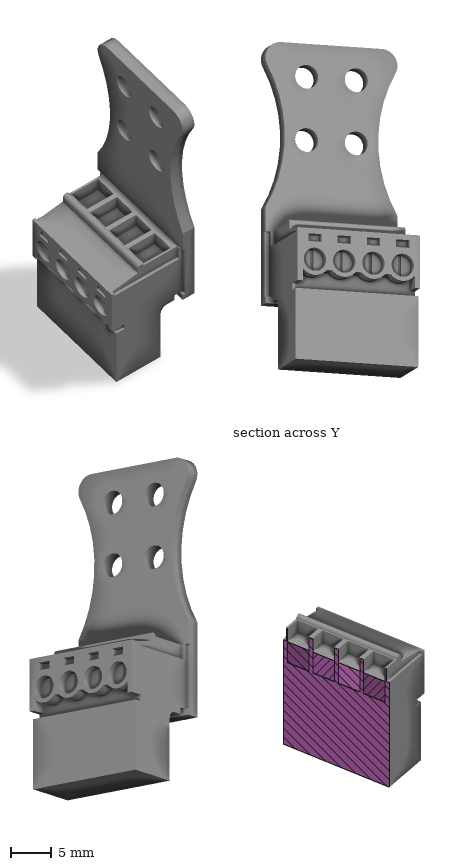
import cadquery as cq
import math


PLATE_WIDTH = 17.2
PLATE_THICKNESS = 1.8
PLATE_BOTTOM = 8.95
PLATE_TOP = 42.1
PLATE_CORNER_RADIUS = 2.0
WAIST_WIDTH = 12.2
WAIST_BOTTOM = 21.15
WAIST_TOP = 39.25
SEAT_DEPTH = 0.4
HOLE_DIAMETER = 3.0
HOLE_SPACING_X = 6.5
HOLE_SPACING_Z = 8.0
TOP_HOLE_DROP = 4.15

HOUSING_WIDTH = 16.0
HOUSING_TOP = 18.0
HOUSING_BOTTOM = 9.8
HOUSING_BACK = -(PLATE_THICKNESS - SEAT_DEPTH)
HOUSING_FRONT = -12.45
SHOULDER_BACK = -2.6
SHOULDER_FILLET = 1.0
PLUG_BACK = -4.8
PLUG_FRONT = -11.75
PLUG_TOP = PLATE_BOTTOM
NOTCH_BACK = -10.5
LIP_TOP = 16.5
LIP_THICKNESS = 0.4
SLOPE_TOP = 17.2
RIB_BACK = -7.1
RIB_THICKNESS = 0.93
RIB_HEIGHT = 0.4
BACK_RIM_THICKNESS = 0.55
SIDE_INSET = 0.4
SIDE_INSET_BOTTOM = 16.1

TERMINAL_COUNT = 4
TERMINAL_SPAN = 11.45
TERMINAL_PITCH = TERMINAL_SPAN / (TERMINAL_COUNT - 1)
POCKET_WIDTH = 3.15
POCKET_BACK = -2.75
POCKET_LENGTH = 4.2
POCKET_FRONT = POCKET_BACK - POCKET_LENGTH
POCKET_DEPTH = 2.0
CLAMP_HEIGHT = 3.15
CLAMP_TOP = HOUSING_TOP - POCKET_DEPTH
CLAMP_BOTTOM = CLAMP_TOP - CLAMP_HEIGHT
WINDOW_WIDTH = 1.73
WINDOW_HEIGHT = 0.95
WINDOW_CENTER_Z = 15.32
WINDOW_DEPTH = 1.0
SCREW_DIAMETER = 2.9
SCREW_CENTER_Z = 12.6
SCREW_RECESS = 1.25
SCREW_LENGTH = 2.1
SCREW_FRONT = HOUSING_FRONT + SCREW_RECESS
SCREW_BACK = SCREW_FRONT + SCREW_LENGTH
SCREW_SLOT_WIDTH = 0.4
SCREW_SLOT_DEPTH = 0.4
COLLAR_RADIUS = 1.98
APRON_BOTTOM = 11.32
APRON_WIDTH = 14.6

TERMINAL_X = [(i - (TERMINAL_COUNT - 1) / 2) * TERMINAL_PITCH for i in range(TERMINAL_COUNT)]


def block(x_center, width, y_back, y_front, z_bottom, z_top):
    """Box centred on x_center, between the given Y and Z limits."""
    return (
        cq.Workplane("XY")
        .box(width, y_back - y_front, z_top - z_bottom)
        .translate((x_center, (y_back + y_front) / 2, (z_bottom + z_top) / 2))
    )


def cylinder_along_y(x, z, radius, y_back, y_front):
    """Round bar running from y_back forwards to y_front."""
    return cq.Workplane("XZ", origin=(x, y_back, z)).circle(radius).extrude(y_back - y_front)


def make_plate():
    half_width = PLATE_WIDTH / 2
    half_waist = WAIST_WIDTH / 2
    waist_middle = (WAIST_BOTTOM + WAIST_TOP) / 2
    corner_x = half_width - PLATE_CORNER_RADIUS
    corner_z = PLATE_TOP - PLATE_CORNER_RADIUS
    waist_top_x = corner_x + math.sqrt(PLATE_CORNER_RADIUS**2 - (corner_z - WAIST_TOP) ** 2)
    plate = (
        cq.Workplane("XZ")
        .moveTo(-half_width, PLATE_BOTTOM)
        .lineTo(half_width, PLATE_BOTTOM)
        .lineTo(half_width, WAIST_BOTTOM)
        .threePointArc((half_waist, waist_middle), (waist_top_x, WAIST_TOP))
        .threePointArc((half_width, corner_z), (corner_x, PLATE_TOP))
        .lineTo(-corner_x, PLATE_TOP)
        .threePointArc((-half_width, corner_z), (-waist_top_x, WAIST_TOP))
        .threePointArc((-half_waist, waist_middle), (-half_width, WAIST_BOTTOM))
        .close()
        .extrude(PLATE_THICKNESS)
    )

    for x in (-HOLE_SPACING_X / 2, HOLE_SPACING_X / 2):
        for drop in (TOP_HOLE_DROP, TOP_HOLE_DROP + HOLE_SPACING_Z):
            z = PLATE_TOP - drop
            plate = plate.cut(cylinder_along_y(x, z, HOLE_DIAMETER / 2, 0, -PLATE_THICKNESS))

    seat = block(0, PLATE_WIDTH, HOUSING_BACK, -PLATE_THICKNESS, HOUSING_BOTTOM, HOUSING_TOP)
    return plate.cut(seat)


def make_housing_profile():
    """Side profile of the housing, extruded over its full width."""
    rib_front = RIB_BACK - RIB_THICKNESS
    rib_peak = (RIB_BACK - RIB_THICKNESS / 2, HOUSING_TOP + RIB_HEIGHT)
    fillet_reach = SHOULDER_FILLET * (1 - math.sqrt(0.5))
    return (
        cq.Workplane("YZ", origin=(-HOUSING_WIDTH / 2, 0, 0))
        .moveTo(PLUG_BACK, 0)
        .lineTo(PLUG_BACK, PLUG_TOP - SHOULDER_FILLET)
        .threePointArc(
            (PLUG_BACK + fillet_reach, PLUG_TOP - fillet_reach),
            (PLUG_BACK + SHOULDER_FILLET, PLUG_TOP),
        )
        .lineTo(SHOULDER_BACK, PLUG_TOP)
        .lineTo(SHOULDER_BACK, HOUSING_BOTTOM)
        .lineTo(HOUSING_BACK, HOUSING_BOTTOM)
        .lineTo(HOUSING_BACK, HOUSING_TOP)
        .lineTo(RIB_BACK, HOUSING_TOP)
        .threePointArc(rib_peak, (rib_front, HOUSING_TOP))
        .lineTo(rib_front, SLOPE_TOP)
        .lineTo(HOUSING_FRONT + LIP_THICKNESS, LIP_TOP)
        .lineTo(HOUSING_FRONT, LIP_TOP)
        .lineTo(HOUSING_FRONT, HOUSING_BOTTOM)
        .lineTo(NOTCH_BACK, HOUSING_BOTTOM)
        .lineTo(NOTCH_BACK, PLUG_TOP)
        .lineTo(PLUG_FRONT, PLUG_TOP)
        .lineTo(PLUG_FRONT, 0)
        .close()
        .extrude(HOUSING_WIDTH)
    )


def make_side_inset(side):
    """Cutter that steps one upper flank inwards between the back rim and the front lip."""
    return block(
        side * (HOUSING_WIDTH - SIDE_INSET) / 2,
        SIDE_INSET,
        HOUSING_BACK - BACK_RIM_THICKNESS,
        HOUSING_FRONT + LIP_THICKNESS,
        SIDE_INSET_BOTTOM,
        HOUSING_TOP + RIB_HEIGHT,
    )


def make_apron_cutout():
    """Cutter under the front wall whose upper edge leaves a round collar below each screw."""
    cutout = block(0, APRON_WIDTH, NOTCH_BACK, HOUSING_FRONT, HOUSING_BOTTOM, APRON_BOTTOM)
    for x in TERMINAL_X:
        collar = cylinder_along_y(x, SCREW_CENTER_Z, COLLAR_RADIUS, NOTCH_BACK, HOUSING_FRONT)
        cutout = cutout.cut(collar)
    return cutout


def make_housing():
    housing = make_housing_profile()
    for side in (-1, 1):
        housing = housing.cut(make_side_inset(side))
    housing = housing.cut(make_apron_cutout())

    for x in TERMINAL_X:
        pocket = block(x, POCKET_WIDTH, POCKET_BACK, POCKET_FRONT, CLAMP_BOTTOM, HOUSING_TOP)
        window = block(
            x,
            WINDOW_WIDTH,
            HOUSING_FRONT + WINDOW_DEPTH,
            HOUSING_FRONT,
            WINDOW_CENTER_Z - WINDOW_HEIGHT / 2,
            WINDOW_CENTER_Z + WINDOW_HEIGHT / 2,
        )
        bore = cylinder_along_y(x, SCREW_CENTER_Z, SCREW_DIAMETER / 2, SCREW_BACK, HOUSING_FRONT)
        housing = housing.cut(pocket).cut(window).cut(bore)
    return housing


def make_clamp(x):
    """Block filling the lower part of a wire pocket."""
    return block(x, POCKET_WIDTH, POCKET_BACK, POCKET_FRONT, CLAMP_BOTTOM, CLAMP_TOP)


def make_screw(x):
    """Slotted screw sunk into its bore in the front wall."""
    screw = cylinder_along_y(x, SCREW_CENTER_Z, SCREW_DIAMETER / 2, SCREW_BACK, SCREW_FRONT)
    slot = block(
        x,
        SCREW_SLOT_WIDTH,
        SCREW_FRONT + SCREW_SLOT_DEPTH,
        SCREW_FRONT,
        SCREW_CENTER_Z - SCREW_DIAMETER / 2,
        SCREW_CENTER_Z + SCREW_DIAMETER / 2,
    )
    return screw.cut(slot)


plate = make_plate()
housing = make_housing()
clamps = [make_clamp(x) for x in TERMINAL_X]
screws = [make_screw(x) for x in TERMINAL_X]

result = cq.Compound.makeCompound(
    [plate.val(), housing.val()]
    + [clamp.val() for clamp in clamps]
    + [screw.val() for screw in screws]
)